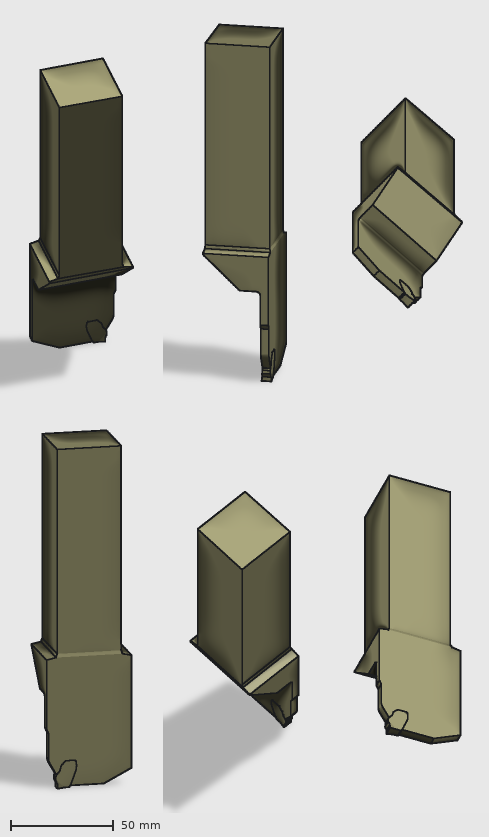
import cadquery as cq
import math

TOTAL_HEIGHT = 170.0
FLARE_TOP = 67.5
FLARE_BOTTOM = 65.8
SHOULDER_HEIGHT = 64.8
BLADE_BOTTOM = 1.2

SHANK_LEFT = 0.8
SHANK_FRONT = 5.1
SHANK_WIDTH = 32.0
SHANK_BACK = SHANK_FRONT + SHANK_WIDTH
FLARE_OFFSET = 0.7

HEAD_DEPTH = 42.5
BLADE_LEFT = 0.3
BLADE_RIGHT = 4.5
HEAD_RIGHT = 33.0
RIGHT_FACE_LEAN = 0.5
GUSSET_BOTTOM = 47.0
GUSSET_FOOT = 14.6
GUSSET_TOP = 64.3
BLADE_FILLET = 2.0

FRONT_BEVEL_DEPTH = 14.0
FRONT_BEVEL_TOP = 8.3
BACK_STEP_TOP = 30.1
BACK_STEP_BOTTOM = 27.9
BACK_LOWER_Y = 41.5
BACK_BEND_TOP = 15.0
BACK_BEND_MIDDLE = (41.1, 13.5)
BACK_BEND_END = (40.5, 12.0)
CUTBACK_END = (37.5, 7.0)
BLADE_BOTTOM_BACK_Y = 32.3

INSERT_TOP = 13.8
INSERT_FOOT_Y = 31.3
INSERT_EXIT_Y = 30.6
FRONT_EDGE_TOP = (27.9, 8.5)
FRONT_BULGE = (27.5, 10.7)
FRONT_BULGE_TOP = (27.7, 13.1)
INSERT_TOP_FRONT_Y = 28.2
INSERT_TOP_BACK_Y = 33.0
BACK_EDGE = [(35.2, 11.4), (35.9, 8.8), (37.5, 6.8), (37.9, 5.8)]
TIP_Y = 37.0
TIP_SHOULDER = (37.9, 4.0)
TIP_EDGE_TOP = 2.2
TIP_LEFT = 0.0
TIP_RIGHT = 5.0
TIP_LINE_START = (37.9, 5.0)
TIP_LINE_END = (33.5, 0.3)


def prism_along_x(outline, left, right):
    """Prism over a workplane outline in the YZ plane."""
    return outline.close().extrude(right - left).translate((left, 0, 0))


def make_shank():
    right_front = HEAD_RIGHT - RIGHT_FACE_LEAN * (1 - SHANK_FRONT / HEAD_DEPTH)
    right_back = HEAD_RIGHT - RIGHT_FACE_LEAN * (1 - SHANK_BACK / HEAD_DEPTH)
    section = [
        (SHANK_LEFT, SHANK_FRONT), (right_front, SHANK_FRONT),
        (right_back, SHANK_BACK), (SHANK_LEFT, SHANK_BACK),
    ]
    shank = (
        cq.Workplane("XY").workplane(offset=FLARE_TOP)
        .polyline(section).close().extrude(TOTAL_HEIGHT - FLARE_TOP)
    )
    flare_base = [
        (BLADE_LEFT, SHANK_FRONT - FLARE_OFFSET), (right_front, SHANK_FRONT - FLARE_OFFSET),
        (right_back, SHANK_BACK + FLARE_OFFSET), (BLADE_LEFT, SHANK_BACK + FLARE_OFFSET),
    ]
    flare = (
        cq.Workplane("XY").workplane(offset=FLARE_BOTTOM).polyline(flare_base).close()
        .workplane(offset=FLARE_TOP - FLARE_BOTTOM).polyline(section).close()
        .loft(ruled=True)
    )
    return shank.union(flare)


def make_head():
    side = (
        cq.Workplane("YZ")
        .moveTo(FRONT_BEVEL_DEPTH, BLADE_BOTTOM)
        .lineTo(0, FRONT_BEVEL_TOP)
        .lineTo(0, SHOULDER_HEIGHT)
        .lineTo(SHANK_FRONT - FLARE_OFFSET, FLARE_BOTTOM)
        .lineTo(SHANK_BACK + FLARE_OFFSET, FLARE_BOTTOM)
        .lineTo(HEAD_DEPTH, SHOULDER_HEIGHT)
        .lineTo(HEAD_DEPTH, BACK_STEP_TOP)
        .lineTo(BACK_LOWER_Y, BACK_STEP_BOTTOM)
        .lineTo(BACK_LOWER_Y, BACK_BEND_TOP)
        .threePointArc(BACK_BEND_MIDDLE, BACK_BEND_END)
        .lineTo(*CUTBACK_END)
        .lineTo(BLADE_BOTTOM_BACK_Y, BLADE_BOTTOM)
    )
    head = prism_along_x(side, BLADE_LEFT, HEAD_RIGHT)

    inner_corner_x = BLADE_RIGHT + BLADE_FILLET
    inner_corner_z = GUSSET_BOTTOM - BLADE_FILLET
    arc_inset = BLADE_FILLET * (1 - math.sqrt(0.5))
    front = (
        cq.Workplane("XZ")
        .moveTo(BLADE_LEFT, 0)
        .lineTo(BLADE_RIGHT, 0)
        .lineTo(BLADE_RIGHT, inner_corner_z)
        .threePointArc(
            (BLADE_RIGHT + arc_inset, GUSSET_BOTTOM - arc_inset),
            (inner_corner_x, GUSSET_BOTTOM),
        )
        .lineTo(GUSSET_FOOT, GUSSET_BOTTOM)
        .lineTo(HEAD_RIGHT, GUSSET_TOP)
        .lineTo(HEAD_RIGHT, FLARE_BOTTOM)
        .lineTo(BLADE_LEFT, FLARE_BOTTOM)
        .close().extrude(-HEAD_DEPTH)
    )

    plan = (
        cq.Workplane("XY")
        .polyline([
            (BLADE_LEFT, 0), (HEAD_RIGHT - RIGHT_FACE_LEAN, 0),
            (HEAD_RIGHT, HEAD_DEPTH), (BLADE_LEFT, HEAD_DEPTH),
        ])
        .close().extrude(FLARE_BOTTOM)
    )
    return head.intersect(front).intersect(plan)


def make_insert_body():
    outline = (
        cq.Workplane("YZ")
        .moveTo(*TIP_LINE_END)
        .lineTo(INSERT_FOOT_Y, TIP_LINE_END[1])
        .lineTo(INSERT_EXIT_Y, BLADE_BOTTOM)
        .lineTo(*FRONT_EDGE_TOP)
        .threePointArc(FRONT_BULGE, FRONT_BULGE_TOP)
        .lineTo(INSERT_TOP_FRONT_Y, INSERT_TOP)
        .lineTo(INSERT_TOP_BACK_Y, INSERT_TOP)
        .polyline(BACK_EDGE, includeCurrent=True)
        .lineTo(*TIP_LINE_START)
    )
    return prism_along_x(outline, BLADE_LEFT, BLADE_RIGHT)


def make_insert_tip():
    """Cutting tip that widens to both sides away from the insert body."""
    outline = (
        cq.Workplane("YZ")
        .moveTo(*TIP_LINE_START)
        .lineTo(*TIP_SHOULDER)
        .lineTo(TIP_Y, TIP_EDGE_TOP)
        .lineTo(TIP_Y, 0)
        .lineTo(*TIP_LINE_END)
    )
    tip = prism_along_x(outline, TIP_LEFT, TIP_RIGHT)

    run_y = TIP_LINE_START[0] - TIP_LINE_END[0]
    run_z = TIP_LINE_START[1] - TIP_LINE_END[1]
    line_length = math.hypot(run_y, run_z)
    outward = (0, run_z / line_length, -run_y / line_length)
    reach = (TIP_Y - TIP_LINE_END[0]) * outward[1] - TIP_LINE_END[1] * outward[2]
    along = (0, run_y / line_length, run_z / line_length)
    plane = cq.Plane(origin=(0, *TIP_LINE_END), xDir=(1, 0, 0), normal=along)
    widening = (
        cq.Workplane(plane)
        .polyline([
            (BLADE_LEFT, 0), (BLADE_RIGHT, 0),
            (TIP_RIGHT, reach), (TIP_LEFT, reach),
        ])
        .close().extrude(line_length, both=True)
    )
    return tip.intersect(widening)


insert = make_insert_body().union(make_insert_tip())
holder = make_shank().union(make_head()).cut(insert)

result = cq.Compound.makeCompound([holder.solids().val(), insert.solids().val()])